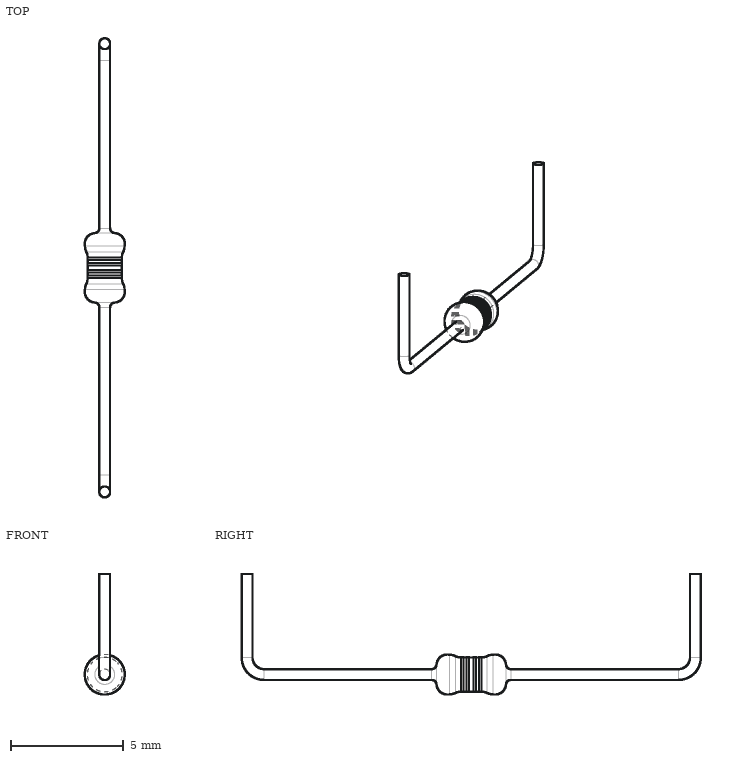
import cadquery as cq
import math

overall_length = 20.5
overall_height = 5.4
wire_diameter = 0.5
bend_radius = 0.75
crown_diameter = 1.8
waist_diameter = 1.54
band_diameter = 1.55
band_width = 0.12
band_centres = (0.154, 0.4)
shoulder_end = 0.96
crown_position = 1.07
dome_radius = 0.5
body_half_length = 1.76

wire_radius = wire_diameter / 2
crown_radius = crown_diameter / 2
waist_radius = waist_diameter / 2
lead_y = overall_length / 2 - wire_radius
lead_top_z = overall_height - crown_radius
waist_half_length = band_centres[-1] + band_width / 2


def body_end():
    """One end of the body: shoulder, dome and neck, revolved about Y."""
    dome_centre_r = crown_radius - dome_radius
    neck_run = body_half_length - crown_position
    rise = dome_centre_r - wire_radius
    neck_radius = (neck_run**2 + rise**2 - dome_radius**2) / (2 * (dome_radius + rise))
    angle = math.asin(neck_run / (dome_radius + neck_radius))
    dome_end = (
        dome_centre_r + dome_radius * math.cos(angle),
        crown_position + dome_radius * math.sin(angle),
    )
    dome_start_r = dome_centre_r + math.sqrt(dome_radius**2 - (crown_position - shoulder_end) ** 2)
    shoulder_middle = (
        (waist_radius + dome_start_r) / 2,
        (waist_half_length + shoulder_end) / 2,
    )
    shoulder_rise = (dome_start_r - waist_radius) / 2
    shoulder_run = (shoulder_end - waist_half_length) / 2
    shoulder_radius = (shoulder_rise**2 + shoulder_run**2) / (2 * shoulder_rise)
    half_turn = math.asin(shoulder_run / shoulder_radius) / 2
    shoulder_lower = (
        waist_radius + shoulder_radius * (1 - math.cos(half_turn)),
        waist_half_length + shoulder_radius * math.sin(half_turn),
    )
    return (
        cq.Workplane("XY")
        .moveTo(0, waist_half_length)
        .lineTo(waist_radius, waist_half_length)
        .threePointArc(shoulder_lower, shoulder_middle)
        .tangentArcPoint((dome_start_r, shoulder_end), relative=False)
        .threePointArc((crown_radius, crown_position), dome_end)
        .tangentArcPoint((wire_radius, body_half_length), relative=False)
        .lineTo(0, body_half_length)
        .close()
        .revolve(360, (0, 0, 0), (0, 1, 0))
    )


def disc(diameter, width, centre_y):
    """A disc across the body axis, for the waist and its raised bands."""
    return (
        cq.Workplane("XZ", origin=(0, centre_y + width / 2, 0))
        .circle(diameter / 2)
        .extrude(width)
    )


def lead():
    """The bent wire, from the middle of the body up to the lead end."""
    path = (
        cq.Workplane("YZ")
        .lineTo(lead_y - bend_radius, 0)
        .tangentArcPoint((lead_y, bend_radius), relative=False)
        .lineTo(lead_y, lead_top_z)
    )
    return cq.Workplane("XZ").circle(wire_radius).sweep(path)


half = body_end().union(lead())
result = disc(waist_diameter, 2 * waist_half_length, 0).union(half).union(half.mirror("XZ"))
for band_y in band_centres:
    for side in (-1, 1):
        result = result.union(disc(band_diameter, band_width, side * band_y))